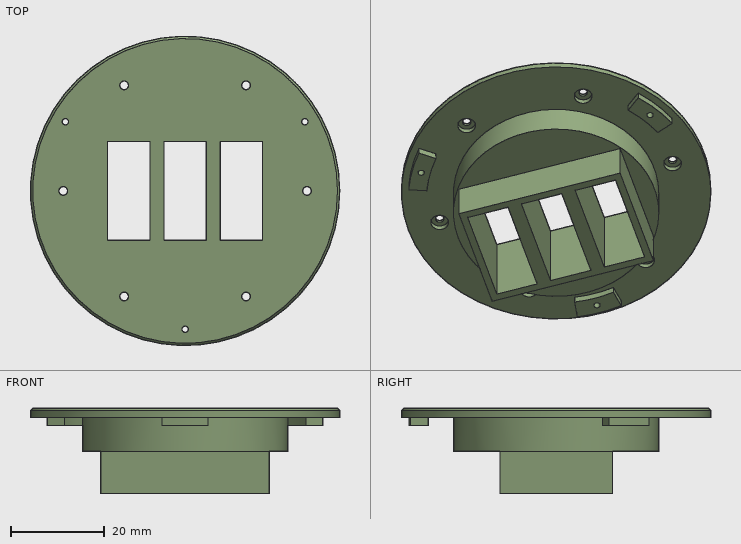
import cadquery as cq
import math

plate_diameter = 66.0
plate_thickness = 2.0
plate_chamfer = 0.5

boss_diameter = 43.8
boss_height = 7.25
housing_length = 36.0
housing_width = 24.0
housing_height = 9.0
total_height = plate_thickness + boss_height + housing_height

window_count = 3
window_wall = 1.5
window_pitch = housing_length / window_count
window_length = window_pitch - 2 * window_wall
window_width = housing_width - 2 * window_wall

screw_hole_diameter = 1.8
screw_circle_radius = 26.0
screw_angles = [0, 60, 120, 180, 240, 300]

counterbore_diameter = 3.75
counterbore_depth = 1.3

lug_angles = [30, 150, 270]
lug_span_angle = 18.0
lug_inner_radius = 27.6
lug_outer_radius = 31.5
lug_height = 1.75
pin_hole_diameter = 1.3
pin_circle_radius = 29.5
lug_bottom_depth = plate_thickness + lug_height


def polar_points(radius, angles):
    """Points on a circle about the Z axis, at angles in degrees from +X."""
    return [
        (radius * math.cos(math.radians(angle)), radius * math.sin(math.radians(angle)))
        for angle in angles
    ]


def make_plate():
    plate = cq.Workplane("XY").circle(plate_diameter / 2).extrude(-plate_thickness)
    return plate.faces(">Z").edges().chamfer(plate_chamfer)


def make_boss():
    return (
        cq.Workplane("XY")
        .circle(boss_diameter / 2)
        .extrude(-(plate_thickness + boss_height))
    )


def make_housing():
    return cq.Workplane("XY").rect(housing_length, housing_width).extrude(-total_height)


def make_lug(angle):
    """Ring sector below the plate, centred on the given angle."""
    start = angle - lug_span_angle / 2
    end = angle + lug_span_angle / 2
    inner_start, inner_middle, inner_end = polar_points(lug_inner_radius, [start, angle, end])
    outer_start, outer_middle, outer_end = polar_points(lug_outer_radius, [start, angle, end])
    return (
        cq.Workplane("XY")
        .workplane(offset=-plate_thickness)
        .moveTo(*inner_start)
        .lineTo(*outer_start)
        .threePointArc(outer_middle, outer_end)
        .lineTo(*inner_end)
        .threePointArc(inner_middle, inner_start)
        .close()
        .extrude(-lug_height)
    )


def make_windows():
    return (
        cq.Workplane("XY")
        .rarray(window_pitch, 1, window_count, 1)
        .rect(window_length, window_width)
        .extrude(-total_height)
    )


def make_holes(diameter, radius, angles, depth):
    """Round holes from the top face down, spread over a circle."""
    return (
        cq.Workplane("XY")
        .pushPoints(polar_points(radius, angles))
        .circle(diameter / 2)
        .extrude(-depth)
    )


def make_counterbores():
    """Wide lower parts of the screw holes, opening on the underside of the plate."""
    return (
        cq.Workplane("XY")
        .workplane(offset=-plate_thickness)
        .pushPoints(polar_points(screw_circle_radius, screw_angles))
        .circle(counterbore_diameter / 2)
        .extrude(counterbore_depth)
    )


body = make_plate().union(make_boss()).union(make_housing())
for lug_angle in lug_angles:
    body = body.union(make_lug(lug_angle))

result = (
    body.cut(make_windows())
    .cut(make_holes(screw_hole_diameter, screw_circle_radius, screw_angles, plate_thickness))
    .cut(make_counterbores())
    .cut(make_holes(pin_hole_diameter, pin_circle_radius, lug_angles, lug_bottom_depth))
)